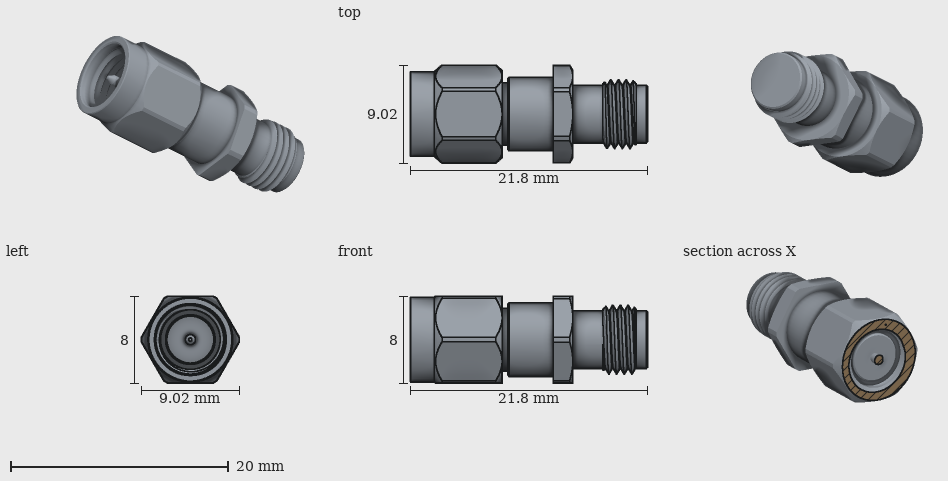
import cadquery as cq
import math


collar_end = 2.24
nut_end = 8.46
body_start = 8.98
flange_start = 13.16
flange_end = 14.96
thread_start = 17.73
thread_end = 20.79
length = 21.84

collar_diameter = 7.81
neck_diameter = 5.78
body_diameter = 6.8
barrel_diameter = 5.33

across_flats = 8.0
nut_corner_diameter = 9.02
flange_corner_diameter = 8.98
nut_cone_slope = 1.15
flange_cone_slope = 0.58

collar_chamfer = 0.08
body_chamfer = 0.15
barrel_chamfer = 0.14

pitch = 25.4 / 36
outer_thread_diameter = 6.35
outer_thread_first_turn = 16.87
outer_thread_base_width = 0.62
outer_thread_lead_in = 0.4
inner_thread_diameter = 6.35
inner_thread_crest_diameter = 5.49
inner_thread_first_turn = 0.35
inner_thread_base_width = 0.6
inner_thread_clearance = 0.1
root_overlap = 0.03

mouth_diameter = 6.62
mouth_chamfer_depth = 0.1
inner_thread_start = 0.92
socket_depth = 3.5
insulator_face = 2.95
insulator_diameter = 4.57
insulator_chamfer = 0.125

pin_diameter = 0.94
pin_tip_diameter = 0.3
pin_tip = 0.6
pin_shoulder = 1.2


def turned(points):
    """Revolve a closed (x, radius) outline about the X axis."""
    return cq.Workplane("XY").polyline(points).close().revolve(360, (0, 0, 0), (1, 0, 0))


def cylinder(start, end, diameter):
    return cq.Workplane("YZ", origin=(start, 0, 0)).circle(diameter / 2).extrude(end - start)


def hexagon(start, end):
    """Hexagonal bar with flats on +Z and -Z."""
    corner_to_corner = across_flats / math.cos(math.pi / 6)
    return cq.Workplane("YZ", origin=(start, 0, 0)).polygon(6, corner_to_corner).extrude(end - start)


def nut_hexagon():
    corner_radius = nut_corner_diameter / 2
    front_radius = collar_diameter / 2
    back_radius = across_flats / 2
    envelope = turned([
        (collar_end, 0),
        (collar_end, front_radius),
        (collar_end + nut_cone_slope * (corner_radius - front_radius), corner_radius),
        (nut_end - nut_cone_slope * (corner_radius - back_radius), corner_radius),
        (nut_end, back_radius),
        (nut_end, 0),
    ])
    return hexagon(collar_end, nut_end).intersect(envelope)


def flange_hexagon():
    corner_radius = flange_corner_diameter / 2
    back_radius = across_flats / 2
    envelope = turned([
        (flange_start, 0),
        (flange_start, corner_radius),
        (flange_end - flange_cone_slope * (corner_radius - back_radius), corner_radius),
        (flange_end, back_radius),
        (flange_end, 0),
    ])
    return hexagon(flange_start, flange_end).intersect(envelope)


def helical_ridge(first_turn, last_turn, root_radius, crest_radius, base_width):
    """Right-handed V ridge about X, its base sunk root_overlap into the parent wall."""
    outward = math.copysign(1, crest_radius - root_radius)
    base_radius = root_radius - outward * root_overlap
    half_width = base_width / 2 * (crest_radius - base_radius) / (crest_radius - root_radius)
    path = cq.Wire.makeHelix(pitch, last_turn - first_turn, root_radius)
    ridge = (
        cq.Workplane("XZ")
        .polyline([(base_radius, -half_width), (crest_radius, 0), (base_radius, half_width)])
        .close()
        .sweep(cq.Workplane(path), isFrenet=True)
    )
    return ridge.rotate((0, 0, 0), (0, 1, 0), 90).translate((first_turn, 0, 0))


def outer_thread():
    crest_radius = outer_thread_diameter / 2
    end_radius = crest_radius - outer_thread_lead_in
    ridge = helical_ridge(
        outer_thread_first_turn,
        thread_end + pitch,
        barrel_diameter / 2,
        crest_radius,
        outer_thread_base_width,
    )
    envelope = turned([
        (thread_start, 0),
        (thread_start, end_radius),
        (thread_start + outer_thread_lead_in, crest_radius),
        (thread_end - outer_thread_lead_in, crest_radius),
        (thread_end, end_radius),
        (thread_end, 0),
    ])
    return ridge.intersect(envelope)


def inner_thread():
    wall_radius = inner_thread_diameter / 2 + 2 * root_overlap
    crest_radius = inner_thread_crest_diameter / 2
    clear_radius = crest_radius - inner_thread_clearance
    ridge = helical_ridge(
        inner_thread_first_turn,
        socket_depth + pitch,
        inner_thread_diameter / 2,
        crest_radius,
        inner_thread_base_width,
    )
    lead_in_run = wall_radius - clear_radius
    envelope = turned([
        (inner_thread_start, wall_radius),
        (inner_thread_start + lead_in_run, clear_radius),
        (socket_depth, clear_radius),
        (socket_depth, wall_radius),
    ])
    return ridge.intersect(envelope)


def socket():
    mouth_radius = mouth_diameter / 2
    bore_radius = inner_thread_diameter / 2
    return turned([
        (0, 0),
        (0, mouth_radius),
        (mouth_chamfer_depth, bore_radius),
        (socket_depth, bore_radius),
        (socket_depth, 0),
    ])


def insulator():
    boss = cylinder(insulator_face, socket_depth, insulator_diameter)
    return boss.faces("<X").chamfer(insulator_chamfer)


def pin():
    pin_radius = pin_diameter / 2
    return turned([
        (pin_tip, 0),
        (pin_tip, pin_tip_diameter / 2),
        (pin_shoulder, pin_radius),
        (socket_depth, pin_radius),
        (socket_depth, 0),
    ])


collar = cylinder(0, collar_end, collar_diameter).faces("<X").edges().chamfer(collar_chamfer)
neck = cylinder(nut_end, body_start, neck_diameter)
body = cylinder(body_start, flange_start, body_diameter).faces("<X").edges().chamfer(body_chamfer)
barrel = cylinder(flange_end, length, barrel_diameter).faces(">X").edges().chamfer(barrel_chamfer)

shell = collar.union(nut_hexagon()).union(neck).union(body).union(flange_hexagon()).union(barrel)
shell = shell.union(outer_thread()).cut(socket()).union(inner_thread())

result = shell.union(insulator()).union(pin())